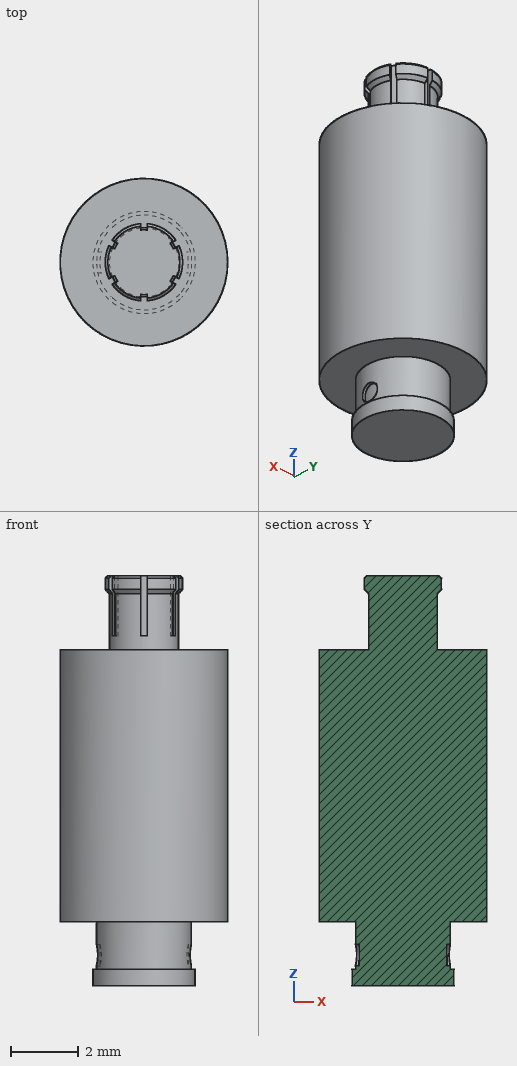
import cadquery as cq

FULL_TURN = 360.0

BODY_RADIUS = 2.49
BODY_HEIGHT = 8.08

FLANGE_RADIUS = 1.52
FLANGE_HEIGHT = 0.5
NECK_RADIUS = 1.41
NECK_HEIGHT = 1.4

SIDE_HOLE_RADIUS = 0.315
SIDE_HOLE_ABOVE_FLANGE = 0.42
SIDE_HOLE_DEPTH = 0.1
SIDE_HOLE_FLOOR_RADIUS = NECK_RADIUS - SIDE_HOLE_DEPTH

STEM_RADIUS = 1.03
STEM_HEIGHT = 1.66
HEAD_RADIUS = 1.15
HEAD_CONE_HEIGHT = 0.13
HEAD_RIM_HEIGHT = 0.33
HEAD_CHAMFER = 0.08

SLOT_COUNT = 6
SLOT_WIDTH = 0.19
SLOT_FLOOR_RADIUS = 0.96
SLOT_START_ABOVE_BODY = 0.42
FIRST_SLOT_ANGLE = 90.0

BODY_BOTTOM = FLANGE_HEIGHT + NECK_HEIGHT
BODY_TOP = BODY_BOTTOM + BODY_HEIGHT
STEM_TOP = BODY_TOP + STEM_HEIGHT
RIM_BOTTOM = STEM_TOP + HEAD_CONE_HEIGHT
RIM_TOP = RIM_BOTTOM + HEAD_RIM_HEIGHT
HEAD_TOP = RIM_TOP + HEAD_CHAMFER


def cylinder(radius, bottom, top):
    """Upright cylinder on the Z axis."""
    return cq.Workplane("XY").workplane(offset=bottom).circle(radius).extrude(top - bottom)


def turned_blank():
    """The whole stepped shape, revolved about the Z axis."""
    profile = [
        (0, 0),
        (FLANGE_RADIUS, 0),
        (FLANGE_RADIUS, FLANGE_HEIGHT),
        (NECK_RADIUS, FLANGE_HEIGHT),
        (NECK_RADIUS, BODY_BOTTOM),
        (BODY_RADIUS, BODY_BOTTOM),
        (BODY_RADIUS, BODY_TOP),
        (STEM_RADIUS, BODY_TOP),
        (STEM_RADIUS, STEM_TOP),
        (HEAD_RADIUS, RIM_BOTTOM),
        (HEAD_RADIUS, RIM_TOP),
        (HEAD_RADIUS - HEAD_CHAMFER, HEAD_TOP),
        (0, HEAD_TOP),
    ]
    return cq.Workplane("XZ").polyline(profile).close().revolve(FULL_TURN, (0, 0), (0, 1))


def slot_cutters():
    """Radial slots that run out through the top, with floors concentric to the stem."""
    bottom = BODY_TOP + SLOT_START_ABOVE_BODY
    bar = (
        cq.Workplane("XY")
        .workplane(offset=bottom)
        .center(HEAD_RADIUS / 2, 0)
        .rect(HEAD_RADIUS, SLOT_WIDTH)
        .extrude(HEAD_TOP - bottom)
    )
    slot = bar.cut(cylinder(SLOT_FLOOR_RADIUS, bottom, HEAD_TOP))
    cutters = cq.Workplane("XY")
    for index in range(SLOT_COUNT):
        angle = FIRST_SLOT_ANGLE + index * FULL_TURN / SLOT_COUNT
        cutters = cutters.add(slot.rotate((0, 0, 0), (0, 0, 1), angle))
    return cutters.combine()


def side_hole_cutters():
    """Two opposite holes along X, with floors concentric to the neck."""
    center_height = FLANGE_HEIGHT + SIDE_HOLE_ABOVE_FLANGE
    rod = (
        cq.Workplane("YZ")
        .center(0, center_height)
        .circle(SIDE_HOLE_RADIUS)
        .extrude(FLANGE_RADIUS, both=True)
    )
    return rod.cut(cylinder(SIDE_HOLE_FLOOR_RADIUS, 0, BODY_BOTTOM))


result = turned_blank().cut(slot_cutters()).cut(side_hole_cutters())